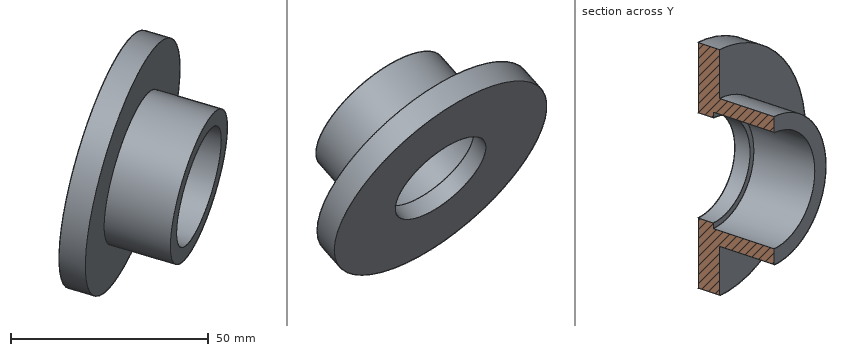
import cadquery as cq

flange_diameter = 68.0
flange_thickness = 7.15
hub_diameter = 41.0
total_length = 25.0
bore_diameter = 29.0
counterbore_diameter = 32.0
lip_length = 5.0


def cylinder(diameter, start, end):
    """Solid cylinder about the X axis between two X positions."""
    return cq.Workplane("YZ", origin=(start, 0, 0)).circle(diameter / 2).extrude(end - start)


flange = cylinder(flange_diameter, 0, flange_thickness)
hub = cylinder(hub_diameter, 0, total_length)
bore = cylinder(bore_diameter, 0, total_length)

counterbore = cylinder(counterbore_diameter, lip_length, total_length)

result = flange.union(hub).cut(bore).cut(counterbore)